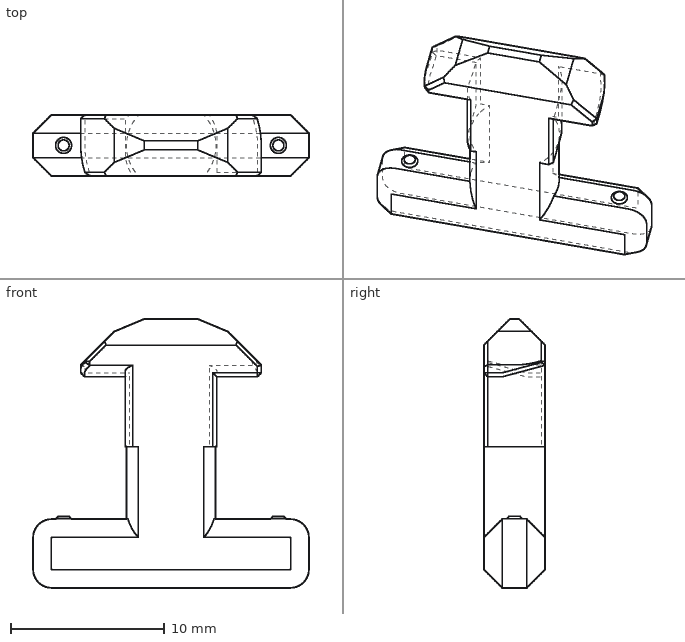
import cadquery as cq
import math

height = 17.55
thickness = 4.0
face_y = thickness / 2
edge_chamfer = 0.25

bar_length = 18.0
bar_height = 4.5
bar_chamfer = 1.2
bar_corner_radius = 1.22
bar_flat_y = face_y - bar_chamfer

button_x = 7.0
button_radius = 0.52
button_height = 0.16

stem_radius = 2.92
step_z = 9.22
neck_half_width = 2.99
neck_arc_y = 0.49
neck_arc_radius = 2.52

head_half_length = 5.89
head_bottom_z = 13.77
slant_bottom_z = 14.55
crest_half_length = 1.73
crest_half_width = 0.29
crest_break_x = 3.7
underside_angle = 15.0


def arc_drop(radius, run):
    """Distance an arc falls away from its tangent line over a given run."""
    return radius - math.sqrt(radius**2 - run**2)


def both_halves(half):
    return half.union(half.rotate((0, 0, 0), (0, 0, 1), 180))


def xz_prism(points):
    """Extrude an X-Z outline through the whole thickness."""
    return cq.Workplane("XZ").polyline(points).close().extrude(face_y, both=True)


def make_bar():
    return (
        cq.Workplane("XY")
        .box(bar_length, thickness, bar_height, centered=(True, True, False))
        .edges("|Y")
        .fillet(bar_corner_radius)
        .faces("<Y or >Y")
        .chamfer(bar_chamfer)
    )


def make_buttons():
    return (
        cq.Workplane("XY", origin=(0, 0, bar_height - button_height))
        .pushPoints([(-button_x, 0), (button_x, 0)])
        .circle(button_radius)
        .extrude(2 * button_height)
        .faces(">Z")
        .chamfer(button_height)
    )


def half_plan(z, half_width, arc_start_y, arc_radius):
    """Half outline, square at -Y and falling away along a tangent arc toward +Y."""
    mid_y = (arc_start_y + face_y) / 2
    return (
        cq.Workplane("XY", origin=(0, 0, z))
        .moveTo(0, -face_y)
        .lineTo(half_width, -face_y)
        .lineTo(half_width, arc_start_y)
        .threePointArc(
            (half_width - arc_drop(arc_radius, mid_y - arc_start_y), mid_y),
            (half_width - arc_drop(arc_radius, face_y - arc_start_y), face_y),
        )
        .lineTo(0, face_y)
        .close()
    )


def make_stem():
    stem_base_z = bar_height / 2
    slab = cq.Workplane("XY").box(bar_length, thickness, height, centered=(True, True, False))
    round_stem = (
        cq.Workplane("XY", origin=(0, 0, stem_base_z))
        .circle(stem_radius)
        .extrude(step_z - stem_base_z)
        .intersect(slab)
    )
    neck_half = (
        half_plan(step_z, neck_half_width, neck_arc_y, neck_arc_radius)
        .extrude(slant_bottom_z - step_z)
        .edges("|Z and >X and <Y")
        .chamfer(edge_chamfer)
    )
    return round_stem.union(both_halves(neck_half))


def make_head_half():
    slant_top_x = head_half_length - (height - slant_bottom_z)
    slanted_end = xz_prism([
        (0, head_bottom_z),
        (head_half_length, head_bottom_z),
        (head_half_length, slant_bottom_z),
        (slant_top_x, height),
        (0, height),
    ])
    blank = half_plan(head_bottom_z, head_half_length, 0, head_half_length)
    blank = blank.extrude(height - head_bottom_z).intersect(slanted_end)

    rise = (face_y + bar_flat_y) * math.tan(math.radians(underside_angle))
    ramp = (
        cq.Workplane("YZ")
        .polyline([
            (-bar_flat_y, head_bottom_z),
            (face_y, head_bottom_z),
            (face_y, head_bottom_z + rise),
        ])
        .close()
        .extrude(head_half_length)
    )
    blank = blank.cut(ramp)

    front_edges = blank.edges("<Y exc (<X or >Z)")
    back_edges = blank.edges(">Y exc (<X or >Z or |X)")
    flat_rim = blank.edges(">X and <Z")
    ramp_rim = blank.edges(">X exc (|Y or |Z)")
    arc_rim = blank.edges("%ELLIPSE").edges("<Z")
    half = front_edges.add(back_edges).add(flat_rim).add(ramp_rim).add(arc_rim).chamfer(edge_chamfer)

    eave_z = height - (face_y - crest_half_width)
    roof = (
        cq.Workplane("YZ")
        .polyline([
            (-face_y, head_bottom_z),
            (face_y, head_bottom_z),
            (face_y, eave_z),
            (crest_half_width, height),
            (-crest_half_width, height),
            (-face_y, eave_z),
        ])
        .close()
        .extrude(head_half_length)
    )
    crest_break_z = slant_bottom_z + head_half_length - crest_break_x
    crest = xz_prism([
        (0, head_bottom_z),
        (head_half_length, head_bottom_z),
        (head_half_length, slant_bottom_z),
        (crest_break_x, crest_break_z),
        (crest_half_length, height),
        (0, height),
    ])
    return half.intersect(roof).intersect(crest)


head = both_halves(make_head_half())
result = make_bar().union(make_buttons()).union(make_stem()).union(head)